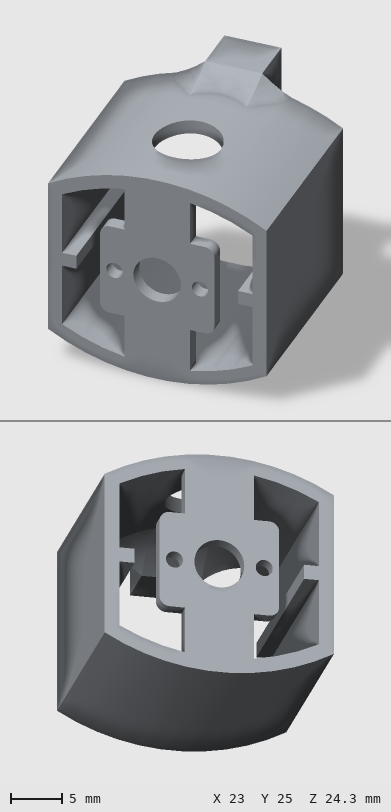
import cadquery as cq
import math

width = 23.0
length = 20.0
wall = 1.5
arch_radius = 23.0
crown_height = 11.5
arch_centre_z = crown_height - arch_radius
inner_half_width = 10.0
inner_radius = arch_radius - wall

web_width = 6.9
plate_width = 12.0
plate_height = 10.0
plate_corner_radius = 1.0
plate_thickness = 1.5
shaft_hole_diameter = 5.0
screw_hole_diameter = 1.7
screw_spacing = 9.0

rib_size = 1.5

top_hole_diameter = 7.0
top_hole_y = 8.0

lug_width = 6.0
lug_length = 5.0
lug_top_z = 12.75
lug_half = lug_width / 2
lug_bottom_z = lug_top_z - lug_width
outer_flare_radius = 12.5
inner_flare_radius = 7.0
foot_bulge = 0.78
outer_flare_half_span = 6.75
outer_flare_depth = 5.0
inner_flare_half_span = 7.88
inner_flare_depth = 5.75
foot_sink = 0.1


def arch_z(x, radius):
    """Height of the top arch of the given radius at x."""
    return arch_centre_z + math.sqrt(radius**2 - x**2)


def arched_prism(half_width, radius, depth):
    """Prism with flat sides and equal arcs at the top and bottom."""
    side_z = arch_z(half_width, radius)
    crown_z = arch_z(0, radius)
    return (
        cq.Workplane("XZ")
        .moveTo(-half_width, -side_z)
        .lineTo(-half_width, side_z)
        .threePointArc((0, crown_z), (half_width, side_z))
        .lineTo(half_width, -side_z)
        .threePointArc((0, -crown_z), (-half_width, -side_z))
        .close()
        .extrude(-depth)
    )


def front_plate():
    web = cq.Workplane("XY").box(web_width, plate_thickness, width, centered=(True, False, True))
    web = web.intersect(arched_prism(width / 2, arch_radius, plate_thickness))
    plate = (
        cq.Workplane("XY")
        .box(plate_width, plate_thickness, plate_height, centered=(True, False, True))
        .edges("|Y")
        .fillet(plate_corner_radius)
    )
    shaft_hole = cq.Workplane("XZ").circle(shaft_hole_diameter / 2).extrude(-plate_thickness)
    screw_holes = (
        cq.Workplane("XZ")
        .pushPoints([(-screw_spacing / 2, 0), (screw_spacing / 2, 0)])
        .circle(screw_hole_diameter / 2)
        .extrude(-plate_thickness)
    )
    return web.union(plate).cut(shaft_hole).cut(screw_holes)


def guide_ribs():
    rib_x = inner_half_width - rib_size / 2
    return (
        cq.Workplane("XZ")
        .pushPoints([(-rib_x, 0), (rib_x, 0)])
        .rect(rib_size, rib_size)
        .extrude(-length)
    )


def hollow_arc(start, end, solid_side, hollow_radius):
    """Arc of the given radius bowed toward solid_side."""
    chord = end - start
    half_chord = chord.Length / 2
    sag = hollow_radius - math.sqrt(hollow_radius**2 - half_chord**2)
    toward_corner = solid_side - (start + end) * 0.5
    across = toward_corner - chord * (toward_corner.dot(chord) / chord.dot(chord))
    return cq.Edge.makeThreePointArc(start, (start + end) * 0.5 + across.normalized() * sag, end)


def flare(edge_z, radius, half_span, depth, hollow_radius):
    """Concave flare from a lug edge to the arch: a straight middle and two rounded corners."""
    corner = cq.Vector(lug_half, length, edge_z)
    root = cq.Vector(lug_half, length, arch_z(lug_half, arch_radius - wall / 2))
    side_foot = cq.Vector(half_span, length, arch_z(half_span, radius))
    front_foot = cq.Vector(lug_half, length - depth, arch_z(lug_half, radius))

    middle_x = lug_half + (half_span - lug_half) * foot_bulge
    middle_y = length - depth * foot_bulge
    middle_foot = cq.Vector(middle_x, middle_y, arch_z(middle_x, radius))
    foot = cq.Edge.makeThreePointArc(side_foot, middle_foot, front_foot)

    side_arc = hollow_arc(corner, side_foot, root, hollow_radius)
    front_arc = hollow_arc(corner, front_foot, root, hollow_radius)
    side_base = cq.Edge.makeLine(side_foot, root)
    front_base = cq.Edge.makeLine(front_foot, root)

    corner_faces = [
        cq.Face.makeNSidedSurface([side_arc, foot, front_arc], []),
        cq.Face.makeNSidedSurface([side_base, foot, front_base], []),
    ]
    mirrored_faces = [face.mirror("YZ") for face in corner_faces]

    across = cq.Vector(-lug_width, 0, 0)
    middle_faces = [cq.Face.makeRuledSurface(edge, edge.translate(across)) for edge in (front_arc, front_base)]

    top_edge = cq.Edge.makeLine(corner, corner + across)
    root_edge = cq.Edge.makeLine(root, root + across)
    mirrored_edges = [side_arc.mirror("YZ"), side_base.mirror("YZ")]
    back_wire = cq.Wire.combine([top_edge, side_arc, side_base, root_edge] + mirrored_edges)[0]
    back_face = cq.Face.makeFromWires(back_wire)

    shell = cq.Shell.makeShell(corner_faces + mirrored_faces + middle_faces + [back_face])
    return cq.Workplane(obj=cq.Solid.makeSolid(shell).fix())


def lug():
    block = cq.Workplane("XY").box(lug_width, lug_length, lug_width, centered=(True, False, False))
    return block.translate((0, length, lug_bottom_z))


outer = arched_prism(width / 2, arch_radius, length)
cavity = arched_prism(inner_half_width, inner_radius, length)
top_hole = (
    cq.Workplane("XY").center(0, top_hole_y).circle(top_hole_diameter / 2).extrude(crown_height)
)
outer_flare = flare(
    lug_top_z, arch_radius - foot_sink, outer_flare_half_span, outer_flare_depth, outer_flare_radius
)
inner_flare = flare(
    lug_bottom_z, inner_radius + foot_sink, inner_flare_half_span, inner_flare_depth, inner_flare_radius
)

result = (
    outer.cut(cavity)
    .cut(top_hole)
    .union(front_plate())
    .union(guide_ribs())
    .union(outer_flare)
    .union(inner_flare)
    .union(lug())
)